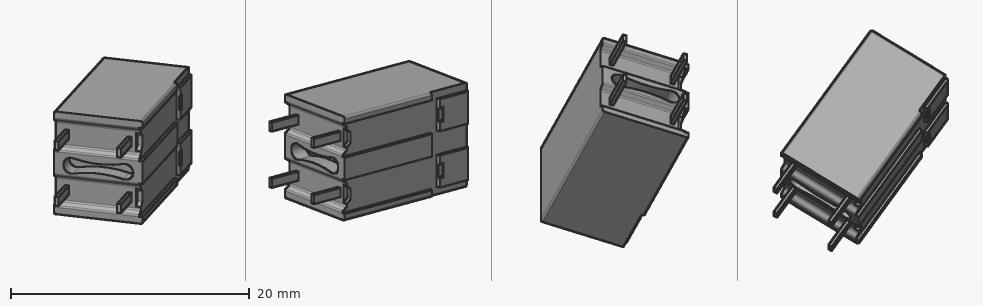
import cadquery as cq
import math

WIDTH = 7.8
LENGTH = 13.6
HEIGHT = 9.2
EDGE_RADIUS = 0.2

ROW_HEIGHTS = (-2.49, 2.49)

GROOVE_DEPTH = 0.5
GROOVE_FLOOR_HALF = 1.04
GROOVE_MOUTH_HALF = 1.39
GROOVE_RADIUS = 0.2
GROOVE_LIP_MARGIN = 0.4

PIN_WIDTH = 0.32
PIN_HEIGHT = 0.8
PIN_LENGTH = 2.4
PIN_EMBED = 0.5
PIN_SPACING = 5.5
PIN_MIDPOINT_X = -0.15

DOGBONE_CENTRE_Z = -0.1
DOGBONE_END_RADIUS = 0.7
DOGBONE_END_X = 2.36
DOGBONE_NECK_HALF = 0.42
DOGBONE_DEPTH = 1.6

SKIN = 0.3
CHANNEL_HALF = 1.49
NOTCH_FRONT_Y = 9.63
NOTCH_REAR_Y = 10.3
NOTCH_FLARE = 0.1
PANEL_TOP_OFFSET = 1.4
PANEL_BOTTOM_OFFSET = -1.44

POCKET_WIDTH = 0.43
POCKET_DEPTH = 0.4
POCKET_MOUTH_HALF = 0.8
POCKET_FLOOR_HALF = 0.45
POCKET_RADIUS = 0.1

NICK_MOUTH_HALF = 0.65
NICK_FLOOR_HALF = 0.52
NICK_DEPTH = 0.14
NICK_LENGTH = 0.5

SIDE_X = WIDTH / 2
STEP_X = SIDE_X - SKIN
GROOVE_FLOOR_Y = GROOVE_DEPTH
CLEARANCE = 1.0


def block(x_range, y_range, z_range):
    """Axis-aligned box given by its limits."""
    ranges = (x_range, y_range, z_range)
    size = [high - low for low, high in ranges]
    corner = tuple(low for low, high in ranges)
    return cq.Workplane("XY").box(*size, centered=False).translate(corner)


def make_body():
    """Box with rounded long edges and a rounded rear end; the pin side stays sharp."""
    body = block((-SIDE_X, SIDE_X), (0, LENGTH), (-HEIGHT / 2, HEIGHT / 2))
    return body.edges("|Y or >Y").fillet(EDGE_RADIUS)


def make_side_step():
    """Skin removed from the +X side, leaving the front ribs and the rear panels."""
    outside = (STEP_X, SIDE_X + CLEARANCE)
    rear_length = (NOTCH_REAR_Y, LENGTH + CLEARANCE)
    rear = block(outside, rear_length, (-HEIGHT, HEIGHT))
    for row in ROW_HEIGHTS:
        panel_span = (row + PANEL_BOTTOM_OFFSET, row + PANEL_TOP_OFFSET)
        rear = rear.cut(block(outside, rear_length, panel_span))
    notch = (
        cq.Workplane("XY")
        .polyline([
            (STEP_X, NOTCH_FRONT_Y),
            (SIDE_X, NOTCH_FRONT_Y - NOTCH_FLARE),
            (SIDE_X, NOTCH_REAR_Y + NOTCH_FLARE),
            (STEP_X, NOTCH_REAR_Y),
        ])
        .close()
        .extrude(HEIGHT / 2, both=True)
    )
    step = rear.union(notch)
    for row in ROW_HEIGHTS:
        channel_span = (row - CHANNEL_HALF, row + CHANNEL_HALF)
        step = step.union(block(outside, (-CLEARANCE, NOTCH_FRONT_Y), channel_span))
    return step


def make_groove(row):
    """Trapezoidal groove along X with rounded floor corners and rounded lips."""
    top = row + GROOVE_MOUTH_HALF
    bottom = row - GROOVE_MOUTH_HALF
    cutter = (
        cq.Workplane("YZ")
        .polyline([
            (-CLEARANCE, bottom - GROOVE_LIP_MARGIN),
            (0, bottom - GROOVE_LIP_MARGIN),
            (0, bottom),
            (GROOVE_FLOOR_Y, row - GROOVE_FLOOR_HALF),
            (GROOVE_FLOOR_Y, row + GROOVE_FLOOR_HALF),
            (0, top),
            (0, top + GROOVE_LIP_MARGIN),
            (-CLEARANCE, top + GROOVE_LIP_MARGIN),
        ])
        .close()
        .extrude(SIDE_X + CLEARANCE, both=True)
    )
    half_margin = GROOVE_LIP_MARGIN / 2
    rounded_corners = cq.selectors.BoxSelector(
        (-WIDTH, -half_margin, bottom - half_margin),
        (WIDTH, GROOVE_FLOOR_Y + half_margin, top + half_margin),
    )
    return cutter.edges("|X").edges(rounded_corners).fillet(GROOVE_RADIUS)


def make_pocket(row):
    """Recess in the groove floor, open on the stepped +X side."""
    floor_y = GROOVE_FLOOR_Y + POCKET_DEPTH
    return (
        cq.Workplane("YZ")
        .workplane(offset=STEP_X - POCKET_WIDTH)
        .polyline([
            (GROOVE_FLOOR_Y, row - POCKET_MOUTH_HALF),
            (floor_y, row - POCKET_FLOOR_HALF),
            (floor_y, row + POCKET_FLOOR_HALF),
            (GROOVE_FLOOR_Y, row + POCKET_MOUTH_HALF),
        ])
        .close()
        .extrude(POCKET_WIDTH)
        .edges("|X and >Y")
        .fillet(POCKET_RADIUS)
    )


def make_nick(row):
    """Shallow trapezoid cut into the outer face of a panel at its notch end."""
    return (
        cq.Workplane("XZ", origin=(0, NOTCH_REAR_Y, 0))
        .polyline([
            (SIDE_X, row - NICK_MOUTH_HALF),
            (SIDE_X - NICK_DEPTH, row - NICK_FLOOR_HALF),
            (SIDE_X - NICK_DEPTH, row + NICK_FLOOR_HALF),
            (SIDE_X, row + NICK_MOUTH_HALF),
        ])
        .close()
        .extrude(-NICK_LENGTH)
    )


def make_dogbone():
    """Recess with two round ends joined by necked arcs tangent to both."""
    end = DOGBONE_END_RADIUS
    neck = DOGBONE_NECK_HALF
    neck_radius = (DOGBONE_END_X**2 + neck**2 - end**2) / (2 * (end - neck))
    angle = math.asin(DOGBONE_END_X / (neck_radius + end))
    tangent_x = DOGBONE_END_X - end * math.sin(angle)
    tangent_z = end * math.cos(angle)
    tip_x = DOGBONE_END_X + end
    return (
        cq.Workplane("XZ", origin=(0, 0, DOGBONE_CENTRE_Z))
        .moveTo(-tangent_x, tangent_z)
        .threePointArc((0, neck), (tangent_x, tangent_z))
        .threePointArc((tip_x, 0), (tangent_x, -tangent_z))
        .threePointArc((0, -neck), (-tangent_x, -tangent_z))
        .threePointArc((-tip_x, 0), (-tangent_x, tangent_z))
        .close()
        .extrude(-DOGBONE_DEPTH)
    )


def make_pin(x, z):
    """Flat pin standing out of a groove floor."""
    return block(
        (x - PIN_WIDTH / 2, x + PIN_WIDTH / 2),
        (-PIN_LENGTH, GROOVE_FLOOR_Y + PIN_EMBED),
        (z - PIN_HEIGHT / 2, z + PIN_HEIGHT / 2),
    )


part = make_body().cut(make_side_step()).cut(make_dogbone())
for row_z in ROW_HEIGHTS:
    part = part.cut(make_groove(row_z)).cut(make_pocket(row_z)).cut(make_nick(row_z))
    for side in (-1, 1):
        part = part.union(make_pin(PIN_MIDPOINT_X + side * PIN_SPACING / 2, row_z))

result = part